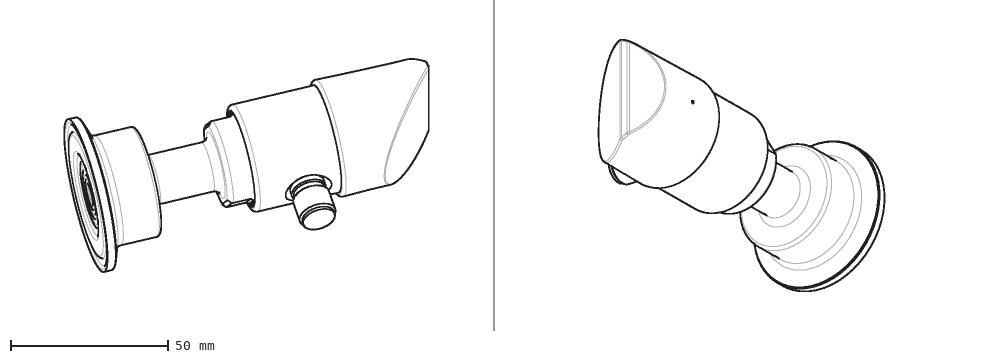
import cadquery as cq
import math


selection_margin = 0.1

flange_diameter = 50.0
flange_radius = flange_diameter / 2
flange_rim_height = 3.0
flange_rim_bevel = 0.3
flange_back_angle = 20
flange_back_fillet = 2.3

drum_radius = 18.0
drum_top = 20.1
drum_fillet = 1.0

neck_radius = 8.1
neck_lower_fillet = 2.3
neck_upper_fillet = 2.8

collar_radius = 14.8
collar_bottom = 42.9
collar_fillet = 1.6
flat_distance = 13.5
flat_angle = 150
flat_end_length = 1.0
flat_bottom_bevel = 1.3
flat_top_rise = 0.6

housing_radius = 17.5
housing_bottom = 51.3
housing_fillet = 1.3
collar_gap = 0.9
collar_gap_depth = 0.7

seat_outer_radius = 7.6
seat_inner_radius = 5.7
seat_depth = 1.6

cap_radius = 19.1
cap_top_radius = 18.7
cap_bottom = 79.5
cap_bottom_fillet = 1.0
total_height = 115.4
rear_low_height = 108.2
ridge_rear_x = -9.1
ridge_front_x = -6.0
display_mid = (7.2, 104.4)
display_low = (cap_radius, 93.2)
display_rim_fillet = 0.6
ridge_fillet = 1.4

vent_height = 93.9
vent_radius = 0.5
vent_depth = 0.9

plug_height = 68.6
overall_width = 54.5
plug_tip_x = overall_width - flange_radius
plug_radius = 6.0
plug_base_radius = 5.7
plug_neck_radius = 5.2
plug_tip_radius = 5.3
plug_base_end_x = 17.8
plug_base_bevel = 0.5
plug_thread_start_x = 19.8
plug_thread_bevel = 0.6
plug_thread_end_x = 27.8

groove_inner_edge = 19.7
groove_inner_wall = 20.6
groove_outer_wall = 23.1
groove_outer_edge = 24.0
groove_lip_depth = 0.6
groove_lip_radius = 1.0
groove_depth = 1.4

membrane_radius = 14.5
membrane_lip_radius = 13.3
membrane_lip_depth = 0.8
membrane_lip_curve = 1.4
membrane_base_depth = 1.4
wave_radii = [11.2, 9.7, 8.2, 6.6, 5.1, 3.6]
membrane_disc_radius = 2.7
membrane_disc_depth = 1.6


def revolve_about_y(profile):
    return profile.close().revolve(360, (0, 0, 0), (0, 1, 0))


def cylinder_along_y(radius, bottom, top):
    return cq.Workplane("XZ", origin=(0, bottom, 0)).circle(radius).extrude(bottom - top)


def make_flange():
    back_rise = (flange_radius - drum_radius) * math.tan(math.radians(flange_back_angle))
    back_height = flange_rim_height + back_rise
    flange = revolve_about_y(
        cq.Workplane("XY")
        .lineTo(flange_radius, 0)
        .lineTo(flange_radius, flange_rim_height - flange_rim_bevel)
        .lineTo(flange_radius - flange_rim_bevel, flange_rim_height)
        .lineTo(drum_radius, back_height)
        .lineTo(drum_radius, drum_top)
        .lineTo(0, drum_top)
    )
    back_corner = cq.selectors.BoxSelector(
        (-flange_radius, back_height - selection_margin, -flange_radius),
        (flange_radius, back_height + selection_margin, flange_radius),
        boundingbox=True,
    )
    flange = flange.edges(back_corner).fillet(flange_back_fillet)
    return flange.faces(">Y").edges().fillet(drum_fillet)


def make_neck():
    lower_flare = neck_radius + neck_lower_fillet
    upper_flare = neck_radius + neck_upper_fillet
    return revolve_about_y(
        cq.Workplane("XY")
        .moveTo(0, drum_top)
        .lineTo(lower_flare, drum_top)
        .radiusArc((neck_radius, drum_top + neck_lower_fillet), neck_lower_fillet)
        .lineTo(neck_radius, collar_bottom - neck_upper_fillet)
        .radiusArc((upper_flare, collar_bottom), neck_upper_fillet)
        .lineTo(0, collar_bottom)
    )


def make_collar():
    collar = cylinder_along_y(collar_radius, collar_bottom, housing_bottom)
    collar = collar.faces("<Y").edges().fillet(collar_fillet)
    cutter_edge = housing_radius
    flat_cutter = (
        cq.Workplane("XY", origin=(0, 0, -collar_radius))
        .moveTo(flat_distance - flat_bottom_bevel, collar_bottom)
        .lineTo(flat_distance, collar_bottom + flat_end_length)
        .lineTo(flat_distance, housing_bottom - flat_end_length)
        .lineTo(flat_distance + flat_top_rise, housing_bottom)
        .lineTo(cutter_edge, housing_bottom)
        .lineTo(cutter_edge, collar_bottom)
        .close()
        .extrude(2 * collar_radius)
    )
    for angle in (flat_angle, flat_angle + 180):
        collar = collar.cut(flat_cutter.rotate((0, 0, 0), (0, 1, 0), -angle))
    return collar


def make_plug_seat():
    return (
        cq.Workplane("XY")
        .moveTo(housing_radius, 0)
        .lineTo(housing_radius, seat_outer_radius)
        .lineTo(housing_radius - seat_depth, seat_inner_radius)
        .lineTo(housing_radius - seat_depth, 0)
        .close()
        .revolve(360, (0, 0, 0), (1, 0, 0))
        .translate((0, plug_height, 0))
    )


def make_housing():
    housing = cylinder_along_y(housing_radius, housing_bottom, cap_bottom)
    housing = housing.faces("<Y").edges().fillet(housing_fillet)
    gap_top = housing_bottom + collar_gap_depth
    gap = cylinder_along_y(collar_radius + collar_gap, housing_bottom, gap_top).cut(
        cylinder_along_y(collar_radius, housing_bottom, gap_top)
    )
    return housing.cut(gap).cut(make_plug_seat())


def make_cap():
    body = revolve_about_y(
        cq.Workplane("XY")
        .moveTo(0, cap_bottom)
        .lineTo(cap_radius, cap_bottom)
        .lineTo(cap_top_radius, total_height)
        .lineTo(0, total_height)
    )
    body = body.faces("<Y").edges().fillet(cap_bottom_fillet)
    slope_block = (
        cq.Workplane("XY", origin=(0, 0, -cap_radius))
        .moveTo(-cap_radius, cap_bottom)
        .lineTo(-cap_radius, rear_low_height)
        .lineTo(ridge_rear_x, total_height)
        .lineTo(ridge_front_x, total_height)
        .threePointArc(display_mid, display_low)
        .lineTo(cap_radius, cap_bottom)
        .close()
        .extrude(2 * cap_radius)
    )
    slope_block = slope_block.faces(">Y").edges("|Z").fillet(ridge_fillet)
    cap = body.intersect(slope_block)
    display_area = cq.selectors.BoxSelector(
        (0, display_low[1], -cap_radius),
        (cap_radius, total_height, cap_radius),
    )
    cap = cap.edges(display_area).fillet(display_rim_fillet)
    vent = (
        cq.Workplane("YZ", origin=(-cap_radius, 0, 0))
        .center(vent_height, 0)
        .circle(vent_radius)
        .extrude(vent_depth)
    )
    return cap.cut(vent)


def make_plug():
    thread_end = plug_thread_end_x + plug_radius - plug_tip_radius
    return (
        cq.Workplane("XY")
        .lineTo(0, plug_base_radius)
        .lineTo(plug_base_end_x, plug_base_radius)
        .lineTo(plug_base_end_x + plug_base_bevel, plug_neck_radius)
        .lineTo(plug_thread_start_x, plug_neck_radius)
        .lineTo(plug_thread_start_x + plug_thread_bevel, plug_radius)
        .lineTo(plug_thread_end_x, plug_radius)
        .lineTo(thread_end, plug_tip_radius)
        .lineTo(plug_tip_x, plug_tip_radius)
        .lineTo(plug_tip_x, 0)
        .close()
        .revolve(360, (0, 0, 0), (1, 0, 0))
        .translate((0, plug_height, 0))
    )


def make_gasket_groove():
    groove_middle = (groove_inner_wall + groove_outer_wall) / 2
    return revolve_about_y(
        cq.Workplane("XY")
        .moveTo(groove_inner_edge, 0)
        .radiusArc((groove_inner_wall, groove_lip_depth), -groove_lip_radius)
        .threePointArc((groove_middle, groove_depth), (groove_outer_wall, groove_lip_depth))
        .radiusArc((groove_outer_edge, 0), -groove_lip_radius)
    )


def make_membrane_recess():
    profile = (
        cq.Workplane("XY")
        .lineTo(membrane_radius, 0)
        .radiusArc((membrane_lip_radius, membrane_lip_depth), membrane_lip_curve)
    )
    for radius in wave_radii:
        profile = profile.tangentArcPoint((radius, membrane_base_depth), relative=False)
    profile = profile.tangentArcPoint((membrane_disc_radius, membrane_disc_depth), relative=False)
    return revolve_about_y(profile.lineTo(0, membrane_disc_depth))


result = (
    make_flange()
    .union(make_neck())
    .union(make_collar())
    .union(make_housing())
    .union(make_cap())
    .union(make_plug())
    .cut(make_gasket_groove())
    .cut(make_membrane_recess())
)